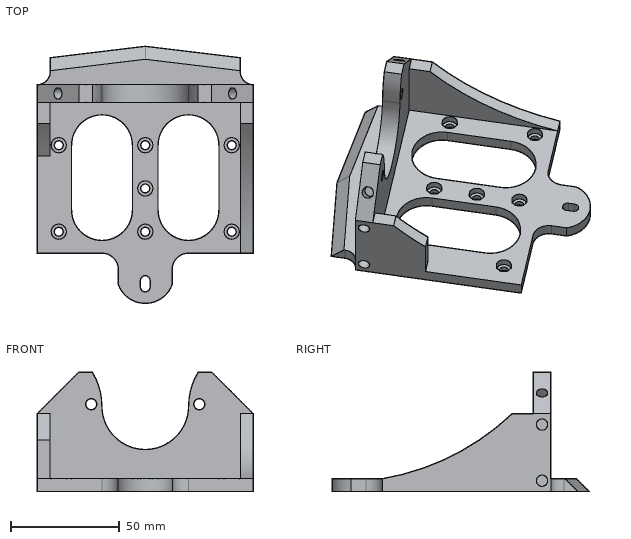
import cadquery as cq
import math

width = 100.0
overall_length = 119.02
half_width = width / 2
plate_thickness = 6.0
plate_front_y = -30.0

wall_thickness = 8.2
wall_back_y = 48.0
wall_mid_y = wall_back_y - wall_thickness / 2
wall_top_z = 55.25
shoulder_z = 36.0
shoulder_run = wall_top_z - shoulder_z

notch_radius = 20.0
notch_center_z = 39.5
flare_radius = 30.0
flare_center_x = notch_radius + flare_radius

wall_hole_diameter = 5.0
wall_hole_x = 25.0
wall_hole_z = 40.4
pin_hole_diameter = 5.2
pin_hole_depth = 10.0
pin_hole_heights = (5.0, 31.0)

rib_thickness = 6.0
rib_flat_front_y = 30.0
rib_arc_radius = 115.0
short_rib_front_y = 15.0

lip_half_width = half_width - rib_thickness
lip_apex_y = 65.8
lip_side_y = 60.5
lip_fillet_radius = 6.0

tab_half_width = 12.5
tab_fillet_radius = 7.5
tab_straight_end_y = -44.5
tab_tip_y = lip_apex_y - overall_length
tab_slot_width = 4.4
tab_slot_length = 7.4
tab_slot_y = -44.1

window_width = 28.0
window_length = 58.0
window_x = 20.0
window_y = 5.0
screw_diameter = 4.0
counterbore_diameter = 7.0
counterbore_depth = 3.5
screw_pitch_x = 40.0
screw_offset_y = 20.0
screw_points = [
    (column * screw_pitch_x, row * screw_offset_y)
    for column in (-1, 0, 1)
    for row in (-1, 1)
]
screw_points.append((0, 0))


def arc_midpoint(start, end, radius):
    """Middle of the minor arc that bulges to the right when going from start to end."""
    dx = end[0] - start[0]
    dy = end[1] - start[1]
    chord = math.hypot(dx, dy)
    sag = radius - math.sqrt(radius**2 - (chord / 2) ** 2)
    mid_x = (start[0] + end[0]) / 2 + sag * dy / chord
    mid_y = (start[1] + end[1]) / 2 - sag * dx / chord
    return (mid_x, mid_y)


def mirrored(point):
    """The same point on the other side of the part's middle plane."""
    return (-point[0], point[1])


def make_plate():
    """Flat plate with the front tab joined by two concave fillets."""
    fillet_start = (tab_half_width, plate_front_y - tab_fillet_radius)
    fillet_end = (tab_half_width + tab_fillet_radius, plate_front_y)
    fillet_mid = arc_midpoint(fillet_end, fillet_start, tab_fillet_radius)
    tab_corner = (tab_half_width, tab_straight_end_y)
    return (
        cq.Workplane("XY")
        .moveTo(-half_width, wall_back_y)
        .lineTo(-half_width, plate_front_y)
        .lineTo(*mirrored(fillet_end))
        .threePointArc(mirrored(fillet_mid), mirrored(fillet_start))
        .lineTo(*mirrored(tab_corner))
        .threePointArc((0, tab_tip_y), tab_corner)
        .lineTo(*fillet_start)
        .threePointArc(fillet_mid, fillet_end)
        .lineTo(half_width, plate_front_y)
        .lineTo(half_width, wall_back_y)
        .close()
        .extrude(plate_thickness)
    )


def make_lip():
    """Pointed lip behind the wall, its two rear faces sloping forward at 45 degrees."""
    fillet_start = (lip_half_width + lip_fillet_radius, wall_back_y)
    fillet_end = (lip_half_width, wall_back_y + lip_fillet_radius)
    fillet_mid = arc_midpoint(fillet_end, fillet_start, lip_fillet_radius)
    side_corner = (lip_half_width, lip_side_y)
    lip = (
        cq.Workplane("XY")
        .moveTo(*mirrored(fillet_start))
        .lineTo(*fillet_start)
        .threePointArc(fillet_mid, fillet_end)
        .lineTo(*side_corner)
        .lineTo(0, lip_apex_y)
        .lineTo(*mirrored(side_corner))
        .lineTo(*mirrored(fillet_end))
        .threePointArc(mirrored(fillet_mid), mirrored(fillet_start))
        .close()
        .extrude(plate_thickness)
    )
    edge_drop = lip_apex_y - lip_side_y
    for side in (-1, 1):
        edge_direction = (lip_half_width, -side * edge_drop, 0)
        outward = (side * edge_drop, lip_half_width, 0)
        across_edge = cq.Plane(origin=(0, lip_apex_y, 0), xDir=outward, normal=edge_direction)
        bevel = (
            cq.Workplane(across_edge)
            .polyline([(0, 0), (-plate_thickness, plate_thickness), (0, plate_thickness)])
            .close()
            .extrude(width, both=True)
        )
        lip = lip.cut(bevel)
    return lip


def make_wall():
    """Upright wall with sloping shoulders and the flared notch."""
    flare_rise = wall_top_z - notch_center_z
    notch_top_x = flare_center_x - math.sqrt(flare_radius**2 - flare_rise**2)
    flare_mid_angle = math.asin(flare_rise / flare_radius) / 2
    flare_mid_x = flare_center_x - flare_radius * math.cos(flare_mid_angle)
    flare_mid_z = notch_center_z + flare_radius * math.sin(flare_mid_angle)
    return (
        cq.Workplane("XZ", origin=(0, wall_back_y, 0))
        .moveTo(-half_width, 0)
        .lineTo(half_width, 0)
        .lineTo(half_width, shoulder_z)
        .lineTo(half_width - shoulder_run, wall_top_z)
        .lineTo(notch_top_x, wall_top_z)
        .threePointArc((flare_mid_x, flare_mid_z), (notch_radius, notch_center_z))
        .threePointArc((0, notch_center_z - notch_radius), (-notch_radius, notch_center_z))
        .threePointArc((-flare_mid_x, flare_mid_z), (-notch_top_x, wall_top_z))
        .lineTo(-half_width + shoulder_run, wall_top_z)
        .lineTo(-half_width, shoulder_z)
        .close()
        .extrude(wall_thickness)
    )


def make_rib(left_x, front_y):
    """Side rib with its left face at left_x, cut off square at front_y."""
    top = (rib_flat_front_y, shoulder_z)
    toe = (plate_front_y, plate_thickness)
    rib = (
        cq.Workplane("YZ", origin=(left_x, 0, 0))
        .moveTo(wall_mid_y, plate_thickness)
        .lineTo(*toe)
        .threePointArc(arc_midpoint(toe, top, rib_arc_radius), top)
        .lineTo(wall_mid_y, shoulder_z)
        .close()
        .extrude(rib_thickness)
    )
    kept_length = wall_back_y - front_y
    kept_zone = cq.Workplane("XY").box(rib_thickness, kept_length, wall_top_z, centered=False)
    return rib.intersect(kept_zone.translate((left_x, front_y, 0)))


def plate_cutters():
    """Windows, tab slot and counterbored screw holes."""
    windows = (
        cq.Workplane("XY")
        .pushPoints([(-window_x, window_y), (window_x, window_y)])
        .slot2D(window_length, window_width, 90)
        .extrude(plate_thickness)
    )
    tab_slot = (
        cq.Workplane("XY")
        .center(0, tab_slot_y)
        .slot2D(tab_slot_length, tab_slot_width, 90)
        .extrude(plate_thickness)
    )
    screws = cq.Workplane("XY").pushPoints(screw_points).circle(screw_diameter / 2).extrude(plate_thickness)
    counterbores = (
        cq.Workplane("XY", origin=(0, 0, plate_thickness - counterbore_depth))
        .pushPoints(screw_points)
        .circle(counterbore_diameter / 2)
        .extrude(counterbore_depth)
    )
    return [windows, tab_slot, screws, counterbores]


def blind_hole(point, direction):
    """Pin hole cutter entering the part at point along direction."""
    return cq.Workplane(
        cq.Solid.makeCylinder(
            pin_hole_diameter / 2,
            pin_hole_depth,
            cq.Vector(*point),
            cq.Vector(*direction),
        )
    )


def wall_cutters():
    """Through holes beside the notch and blind pin holes in the wall's edges."""
    cutters = [
        cq.Workplane("XZ", origin=(0, wall_back_y, 0))
        .pushPoints([(-wall_hole_x, wall_hole_z), (wall_hole_x, wall_hole_z)])
        .circle(wall_hole_diameter / 2)
        .extrude(wall_thickness)
    ]
    slope_mid_x = half_width - shoulder_run / 2
    slope_mid_z = shoulder_z + shoulder_run / 2
    for side in (-1, 1):
        for height in pin_hole_heights:
            cutters.append(blind_hole((side * half_width, wall_mid_y, height), (-side, 0, 0)))
        cutters.append(blind_hole((side * slope_mid_x, wall_mid_y, slope_mid_z), (-side, 0, -1)))
    return cutters


result = make_plate().union(make_wall()).union(make_lip())
result = result.union(make_rib(-half_width, short_rib_front_y))
result = result.union(make_rib(half_width - rib_thickness, plate_front_y))
for cutter in plate_cutters() + wall_cutters():
    result = result.cut(cutter)